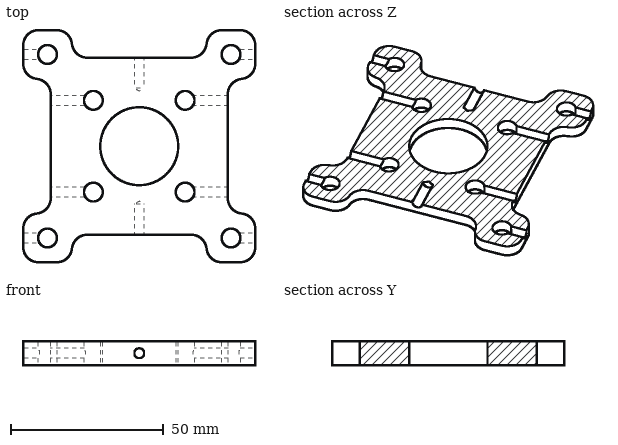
import cadquery as cq
import math

size = 76.0
thickness = 8.0
body_width = 58.0
corner_radius = 5.0
pad_flat = 6.0
bore_diameter = 25.45
post_diameter = 6.1
outer_post_spacing = 60.05
inner_post_spacing = outer_post_spacing / 2
screw_diameter = 3.3
tapped_depth = 10.0
drill_tip_angle = 118.0

half_size = size / 2
half_body = body_width / 2
mid_height = thickness / 2


def make_plate():
    """Square body with a rounded pad blending into each corner."""
    r = corner_radius
    flat_outer = half_size - r
    flat_inner = flat_outer - pad_flat

    blend_height = half_body + r
    center_rise = blend_height - flat_outer
    blend_x = flat_inner - math.sqrt((2 * r) ** 2 - center_rise ** 2)
    join_x = (flat_inner + blend_x) / 2
    join_y = (flat_outer + blend_height) / 2
    tilt = math.asin(center_rise / (2 * r))
    pad_angle = (math.pi / 2 + math.pi - tilt) / 2
    blend_angle = (-math.pi / 2 - tilt) / 2
    corner_mid = flat_outer + r * math.sqrt(0.5)

    pad_mid = (flat_inner + r * math.cos(pad_angle), flat_outer + r * math.sin(pad_angle))
    blend_mid = (blend_x + r * math.cos(blend_angle), blend_height + r * math.sin(blend_angle))
    side = [
        ((-pad_mid[0], pad_mid[1]), (-join_x, join_y)),
        ((-blend_mid[0], blend_mid[1]), (-blend_x, half_body)),
        (None, (blend_x, half_body)),
        (blend_mid, (join_x, join_y)),
        (pad_mid, (flat_inner, half_size)),
        (None, (flat_outer, half_size)),
        ((corner_mid, corner_mid), (half_size, flat_outer)),
        (None, (half_size, flat_inner)),
    ]

    def quarter_turn(point, turns):
        x, y = point
        for _ in range(turns):
            x, y = y, -x
        return x, y

    outline = cq.Workplane("XY").moveTo(-flat_inner, half_size)
    for turns in range(4):
        for middle, end in side:
            end = quarter_turn(end, turns)
            if middle is None:
                outline = outline.lineTo(*end)
            else:
                outline = outline.threePointArc(quarter_turn(middle, turns), end)
    return outline.close().extrude(thickness)


def make_vertical_holes():
    """Central bore and the two square patterns of post holes."""
    holes = cq.Workplane("XY").circle(bore_diameter / 2).extrude(thickness)
    for spacing in (outer_post_spacing, inner_post_spacing):
        posts = (
            cq.Workplane("XY")
            .rect(spacing, spacing, forConstruction=True)
            .vertices()
            .circle(post_diameter / 2)
            .extrude(thickness)
        )
        holes = holes.union(posts)
    return holes


def make_clamp_screw_holes():
    """Holes from both X edges, each ending in its nearest post hole."""
    holes = cq.Workplane("XY")
    for spacing in (outer_post_spacing, inner_post_spacing):
        post = spacing / 2
        for x_side in (-1, 1):
            for y in (-post, post):
                hole = cq.Solid.makeCylinder(
                    screw_diameter / 2,
                    half_size - post,
                    cq.Vector(x_side * half_size, y, mid_height),
                    cq.Vector(-x_side, 0, 0),
                )
                holes = holes.add(hole)
    return holes.combine()


def make_tapped_hole(y_side):
    """Blind hole with a drill-point bottom in the middle of a Y edge."""
    radius = screw_diameter / 2
    tip_length = radius / math.tan(math.radians(drill_tip_angle / 2))
    profile = [
        (0, 0),
        (radius, 0),
        (radius, tapped_depth),
        (0, tapped_depth + tip_length),
    ]
    turn = 180 if y_side > 0 else 0
    return (
        cq.Workplane("XY")
        .polyline(profile)
        .close()
        .revolve(360, (0, 0), (0, 1))
        .translate((0, -half_body, mid_height))
        .rotate((0, 0, 0), (0, 0, 1), turn)
    )


result = make_plate().cut(make_vertical_holes()).cut(make_clamp_screw_holes())
for y_side in (-1, 1):
    result = result.cut(make_tapped_hole(y_side))
result = cq.Workplane("XY").newObject([result.solids().val()])